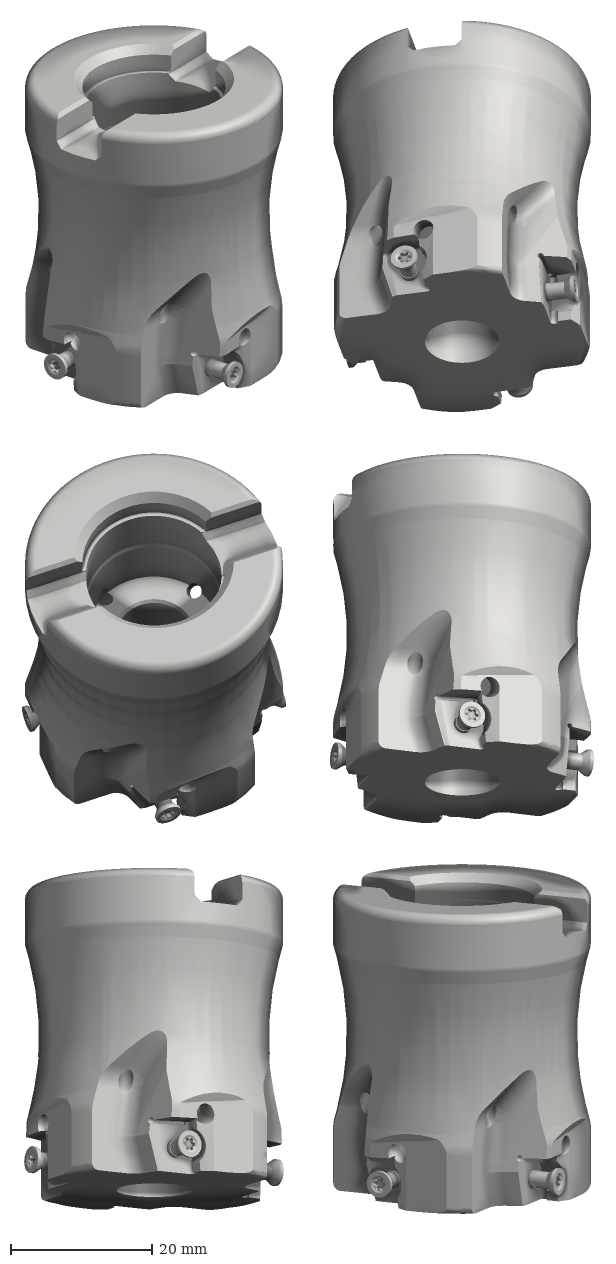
import cadquery as cq
import math

height = 43.25
body_radius = 18.25
waist_radius = 16.3
arc_end_radius = 17.7
upper_arc_end_z = 33.25
lower_arc_end_z = 11.45
upper_blend_z = (35.08, 35.55)
lower_blend_z = (9.9, 8.6)
top_round = 1.43
bottom_round = 0.95

mouth_radius = 11.35
mouth_chamfer = 1.15
recess_radius = 10.15
recess_depth = 3.7
bore_radius = 9.6
bore_step_z = (31.5, 32.18)
lower_bore_radius = 9.45
bore_floor_z = 23.35
through_radius = 5.28
through_chamfer = 0.4

slot_half_width = 3.95
slot_depth = 4.85
slot_floor_chamfer = 0.95
slot_edge_chamfer = 0.5

tooth_count = 4
flank_y = -17.2
flank_tilt = 7.5
flank_top_z = 10.08
flank_ramp_depth = 1.12
flank_ramp_height = 2.4

gullet_floor_y = -9.3
gullet_low_bend_z = 5.2
ramp_end_z = 25.95
lower_wall = {"lean": -0.28, "angle": 20.0, "corner_x": -10.0, "round": 2.4}
middle_wall = {"lean": 0.064, "angle": 20.0, "corner_x": -10.0, "round": 2.4}
upper_wall = {"lean": 0.13, "angle": 13.8, "corner_x": -9.85, "round": 2.4}
ramp_start_z = 13.85
ramp_slope = 0.78
ramp_round = 4.32
reach = 25.95
below_end_z = -0.45

seat_y = -13.28
seat_right_x = -2.0
seat_wall_run = 0.7
seat_wall_outer_x = -0.35
wall_bevel_y = -16.25
seat_top_right_z = 7.45
seat_top_left_z = 6.88
seat_left_x = -12.98
top_groove_radius = 0.45
side_groove_radius = 0.55
seat_bevel_depth = 0.17
seat_bevel_inner_x = (-7.0, -8.95)
seat_bevel_outer_x = (-6.5, -7.75)
corner_relief_x = -1.75
corner_relief_z = 8.05
corner_relief_tilt = 20.0
corner_relief_radius = 1.43
scallop_radius = 3.1

screw_x = -4.5
screw_z = 3.45
screw_face_y = -17.55
screw_length = 6.9
thread_radius = 1.3
thread_end_y = -14.1
neck_radius = 1.2
head_radius = 1.9
head_rim = 0.5
head_cone = 1.0
socket_radius = 0.95
socket_lobe_radius = 0.25
socket_lobes = 6
socket_depth = 0.85
socket_chamfer_radius = 1.25
socket_chamfer_depth = 0.17

coolant_radius = 1.1
coolant_start = cq.Vector(-10.5, -9.95, 12.75)
coolant_exit_radius = 9.05
coolant_exit_angle = 210.0
coolant_overrun = 0.15


def around(shape, index):
    """Turn a shape to the given tooth position."""
    return shape.rotate((0, 0, 0), (0, 0, 1), index * 360.0 / tooth_count)


def cone_radius(blend_z, arc_end_z):
    """Radius where a cone, aimed at the body edge halfway up its blend, meets that blend."""
    edge_z = sum(blend_z) / 2
    fraction = (blend_z[0] - arc_end_z) / (edge_z - arc_end_z)
    return arc_end_radius + fraction * (body_radius - arc_end_radius)


def turned_body():
    lower_cone_radius = cone_radius(lower_blend_z, lower_arc_end_z)
    upper_cone_radius = cone_radius(upper_blend_z, upper_arc_end_z)
    outline = (
        cq.Workplane("XZ")
        .lineTo(body_radius - bottom_round, 0)
        .tangentArcPoint((body_radius, bottom_round), relative=False)
        .lineTo(body_radius, lower_blend_z[1])
        .tangentArcPoint((lower_cone_radius, lower_blend_z[0]), relative=False)
        .lineTo(arc_end_radius, lower_arc_end_z)
        .threePointArc((waist_radius, (lower_arc_end_z + upper_arc_end_z) / 2),
                       (arc_end_radius, upper_arc_end_z))
        .lineTo(upper_cone_radius, upper_blend_z[0])
        .tangentArcPoint((body_radius, upper_blend_z[1]), relative=False)
        .lineTo(body_radius, height - top_round)
        .tangentArcPoint((body_radius - top_round, height), relative=False)
        .lineTo(0, height)
        .close()
    )
    return outline.revolve(360, (0, 0, 0), (0, 1, 0))


def arbor_bore():
    recess_floor_z = height - recess_depth
    outline = (
        cq.Workplane("XZ")
        .polyline([
            (0, 0),
            (through_radius, 0),
            (through_radius, bore_floor_z - through_chamfer),
            (through_radius + through_chamfer, bore_floor_z),
            (lower_bore_radius, bore_floor_z),
            (lower_bore_radius, bore_step_z[0]),
            (bore_radius, bore_step_z[1]),
            (bore_radius, recess_floor_z),
            (recess_radius, recess_floor_z),
            (recess_radius, height - mouth_chamfer),
            (mouth_radius, height),
            (0, height),
        ])
        .close()
    )
    return outline.revolve(360, (0, 0, 0), (0, 1, 0))


def drive_slot():
    floor_z = height - slot_depth
    half = [
        (slot_half_width - slot_floor_chamfer, floor_z),
        (slot_half_width, floor_z + slot_floor_chamfer),
        (slot_half_width, height - slot_edge_chamfer),
        (slot_half_width + slot_edge_chamfer, height),
    ]
    mirrored = [(-x, z) for x, z in reversed(half)]
    return cq.Workplane("XZ").polyline(half + mirrored).close().extrude(reach, both=True)


def flank_flat():
    """Flat on the outside of a tooth, ramping out to the turned surface at its upper end."""
    outline = [
        (flank_y, -reach),
        (flank_y, 0),
        (flank_y - flank_ramp_depth, flank_ramp_height),
        (-reach, flank_ramp_height),
        (-reach, -reach),
    ]
    flat = cq.Workplane("YZ").polyline(outline).close().extrude(reach / 2, both=True)
    return flat.rotate((0, 0, 0), (0, 1, 0), -flank_tilt).translate((0, 0, flank_top_z))


def below_ramp(low_z, high_z):
    """Space in front of the gullet floor and of the ramp that runs out above it."""
    outline = [(gullet_floor_y, low_z), (gullet_floor_y, min(ramp_start_z, high_z))]
    if high_z > ramp_start_z:
        outline.append((gullet_floor_y - ramp_slope * (high_z - ramp_start_z), high_z))
    outline += [(-reach, high_z), (-reach, low_z)]
    space = cq.Workplane("YZ").polyline(outline).close().extrude(reach, both=True)
    if high_z > ramp_start_z:
        bend = cq.selectors.NearestToPointSelector((0, gullet_floor_y, ramp_start_z))
        space = space.edges(bend).fillet(ramp_round)
    return space


def gullet_stretch(low_z, high_z, wall):
    """Part of the gullet between two heights, bounded by one wall and rounded along its foot."""
    foot_x = [wall["corner_x"] + wall["lean"] * (z - gullet_low_bend_z) for z in (low_z, high_z)]
    wall_run = math.tan(math.radians(wall["angle"])) * reach
    path = (
        cq.Workplane("XZ", origin=(0, gullet_floor_y, 0))
        .moveTo(foot_x[0], low_z)
        .lineTo(foot_x[1], high_z)
    )
    wall_side = (
        cq.Workplane("XY", origin=(foot_x[0], gullet_floor_y, low_z))
        .polyline([(0, 0), (wall_run, -reach), (-reach, -reach), (-reach, 0)])
        .close()
        .sweep(path)
    )
    foot = cq.selectors.NearestToPointSelector((foot_x[0], gullet_floor_y, low_z))
    return wall_side.intersect(below_ramp(low_z, high_z)).edges(foot).fillet(wall["round"])


def gullet():
    low = gullet_stretch(below_end_z, gullet_low_bend_z, lower_wall)
    middle = gullet_stretch(gullet_low_bend_z, ramp_end_z, middle_wall)
    high = gullet_stretch(gullet_low_bend_z, ramp_end_z, upper_wall)
    return low.union(middle).union(high)


def seat_loft(inner_y, inner_right, outer_y, outer_right):
    """Cut between two seat outlines, each given by the foot and top of its right side."""
    def outline(right):
        (foot_x, foot_z), (top_x, top_z) = right
        return [(seat_left_x, foot_z), (foot_x, foot_z), (top_x, top_z), (seat_left_x, seat_top_left_z)]

    return (
        cq.Workplane("XZ", origin=(0, inner_y, 0))
        .polyline(outline(inner_right)).close()
        .workplane(offset=inner_y - outer_y)
        .polyline(outline(outer_right)).close()
        .loft(ruled=True)
    )


def seat_cylinder(start, end, radius):
    """Round cutter between two points."""
    axis = cq.Vector(*end) - cq.Vector(*start)
    return cq.Workplane(cq.Solid.makeCylinder(radius, axis.Length, cq.Vector(*start), axis))


def insert_pocket():
    """Seat facing -Y with a leaning side wall, open to the gullet and to the end face."""
    wall_foot = (seat_right_x, below_end_z)
    wall_top = (seat_right_x - seat_wall_run, seat_top_right_z)
    mouth_side = ((seat_wall_outer_x, below_end_z), (seat_wall_outer_x, seat_top_right_z))
    wall_side = (wall_foot, wall_top)
    pocket = seat_loft(seat_y, wall_side, wall_bevel_y, wall_side)
    mouth = seat_loft(wall_bevel_y, wall_side, flank_y, mouth_side)

    seat_corner = (wall_top[0], seat_y, wall_top[1])
    groove_y = seat_y - side_groove_radius
    side_groove = seat_cylinder((wall_foot[0], groove_y, wall_foot[1]),
                                (wall_top[0], groove_y, wall_top[1]), side_groove_radius)
    top_groove = seat_cylinder((seat_left_x, seat_y, seat_top_left_z), seat_corner, top_groove_radius)

    relief_rise = (seat_y - flank_y) * math.tan(math.radians(corner_relief_tilt))
    relief_top = (corner_relief_x, seat_y, corner_relief_z + relief_rise)
    relief_mouth = (corner_relief_x, 2 * flank_y - seat_y, corner_relief_z - relief_rise)
    corner_relief = seat_cylinder(relief_top, relief_mouth, corner_relief_radius)

    scallop = seat_cylinder((screw_x, seat_y, screw_z), (screw_x, flank_y, screw_z), scallop_radius)
    for part in (mouth, side_groove, top_groove, corner_relief, scallop):
        pocket = pocket.union(part)
    return pocket


def seat_bevel():
    """Bevel along the edge between the seat and the gullet, widening upwards."""
    inner = ((seat_bevel_inner_x[0], 0), (seat_bevel_inner_x[1], seat_top_left_z))
    outer = ((seat_bevel_outer_x[0], 0), (seat_bevel_outer_x[1], seat_top_left_z))
    return seat_loft(seat_y + seat_bevel_depth, inner, seat_y, outer)


def screw_profile():
    """Half section of the screw, radius against distance behind its face."""
    head_depth = head_rim + head_cone
    thread_start = thread_end_y - screw_face_y
    return [
        (0, 0),
        (head_radius, 0),
        (head_radius, head_rim),
        (neck_radius, head_depth),
        (neck_radius, thread_start),
        (thread_radius, thread_start),
        (thread_radius, screw_length),
        (0, screw_length),
    ]


def insert_screw():
    screw = cq.Workplane("XY").polyline(screw_profile()).close().revolve(360, (0, 0, 0), (0, 1, 0))
    face = cq.Workplane("XZ")
    lobes = face.polarArray(socket_radius - socket_lobe_radius, 0, 360, socket_lobes)
    socket = face.circle(socket_radius - socket_lobe_radius).extrude(-socket_depth)
    socket = socket.union(lobes.circle(socket_lobe_radius).extrude(-socket_depth))
    rim = cq.Solid.makeCone(socket_chamfer_radius, socket_radius, socket_chamfer_depth,
                            cq.Vector(0, 0, 0), cq.Vector(0, 1, 0))
    return screw.cut(socket).cut(cq.Workplane(rim)).translate((screw_x, screw_face_y, screw_z))


def screw_hole():
    depth = seat_y - screw_face_y - screw_length
    return cq.Workplane("XZ", origin=(screw_x, seat_y, screw_z)).circle(thread_radius).extrude(depth)


def coolant_hole():
    angle = math.radians(coolant_exit_angle)
    end = cq.Vector(coolant_exit_radius * math.cos(angle), coolant_exit_radius * math.sin(angle),
                    bore_floor_z)
    run = end - coolant_start
    return cq.Workplane(cq.Solid.makeCylinder(
        coolant_radius, run.Length * (1 + 2 * coolant_overrun), coolant_start - run * coolant_overrun, run))


cutter_body = turned_body().cut(arbor_bore()).cut(drive_slot())
for tooth in range(tooth_count):
    for feature in (flank_flat(), gullet(), insert_pocket(), seat_bevel(), screw_hole(), coolant_hole()):
        cutter_body = cutter_body.cut(around(feature, tooth))

screws = [around(insert_screw(), tooth) for tooth in range(tooth_count)]

result = cq.Compound.makeCompound([cutter_body.val(), *[screw.val() for screw in screws]])